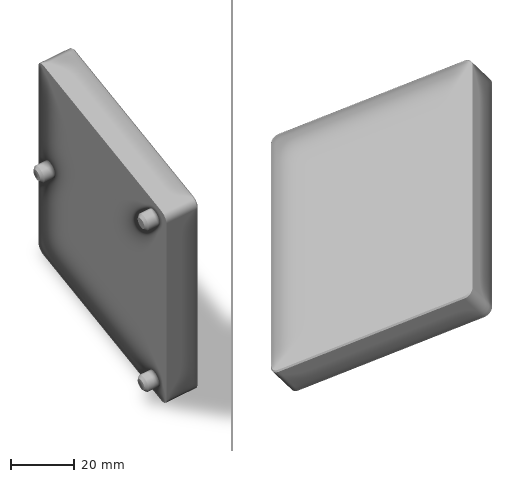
import cadquery as cq

plate_width = 76.0
plate_height = 95.0
plate_thickness = 12.0
corner_radius = 3.0
back_chamfer = 0.5

pin_diameter = 6.0
pin_length = 5.0
pin_tip_chamfer = 0.95
pin_inset = 7.0

pin_x = plate_width / 2 - pin_inset
pin_z = plate_height / 2 - pin_inset
pin_centers = [(-pin_x, 0), (pin_x, pin_z), (pin_x, -pin_z)]


def make_plate():
    """Plate with its front face on Y = 0 and a chamfered back rim."""
    return (
        cq.Workplane("XZ")
        .rect(plate_width, plate_height)
        .extrude(-plate_thickness)
        .edges("|Y")
        .fillet(corner_radius)
        .faces(">Y")
        .edges()
        .chamfer(back_chamfer)
    )


def make_pins():
    """Three pins with chamfered tips, pointing toward -Y."""
    return (
        cq.Workplane("XZ")
        .pushPoints(pin_centers)
        .circle(pin_diameter / 2)
        .extrude(pin_length)
        .faces("<Y")
        .edges()
        .chamfer(pin_tip_chamfer)
    )


result = make_plate().union(make_pins())